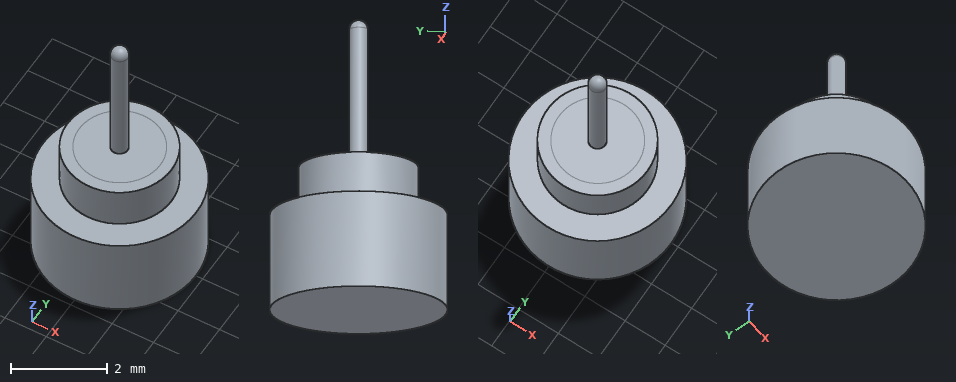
import cadquery as cq

total_height = 6.25
body_diameter = 3.7
body_height = 2.05
collar_diameter = 2.5
collar_height = 1.01
insert_diameter = 1.95
pin_diameter = 0.395

pin_radius = pin_diameter / 2
collar_top = body_height + collar_height
tip_center_height = total_height - pin_radius


def cylinder(diameter, bottom, top):
    """Upright cylinder on the part axis."""
    return cq.Workplane("XY", origin=(0, 0, bottom)).circle(diameter / 2).extrude(top - bottom)


body = cylinder(body_diameter, 0, body_height)

insert = cylinder(insert_diameter, body_height, collar_top)
collar = cylinder(collar_diameter, body_height, collar_top).cut(insert)

shaft = cylinder(pin_diameter, collar_top, tip_center_height)
tip = cq.Workplane("XY", origin=(0, 0, tip_center_height)).sphere(pin_radius)
pin = shaft.union(tip)

result = body.union(collar, clean=False).union(insert, clean=False).union(pin, clean=False)